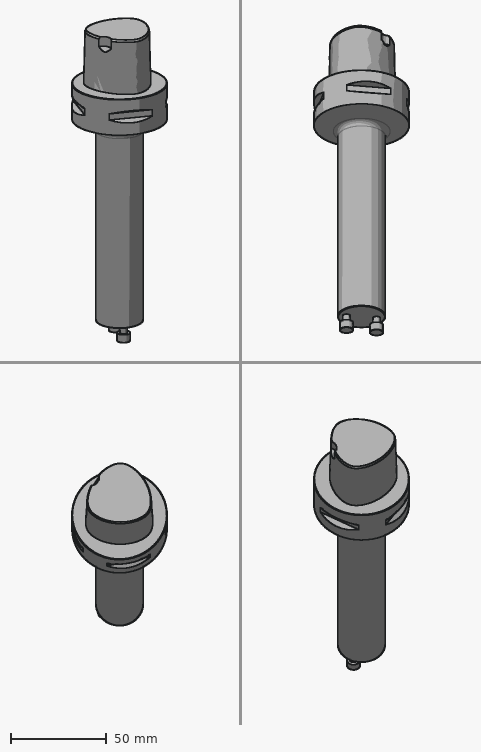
import cadquery as cq
import math


total_height = 171.0
flange_diameter = 50.0
flange_height = 20.0
bar_diameter = 25.0

shank_height = 30.0
shank_mean_radius = 17.6
lobe_eccentricity = 2.4
taper_per_side = 1 / 40
tip_chamfer_height = 1.2
tip_chamfer_width = 0.5
outline_points = 48

notch_radius = 4.5
notch_axis_y = -18.0
notch_depth = 5.3

slot_count = 4
slot_first_angle = 45.0
slot_floor_distance = 22.0
slot_floor_height = 3.5
slot_side_angle = 30.0

neck_cone_drop = 4.0
neck_fillet = 3.5
edge_chamfer = 0.3

screw_diameter = 4.0
screw_head_diameter = 7.0
screw_head_height = 4.5
screw_head_chamfer = 0.2
screw_length = 8.5
screw_offset = 5.6

flange_radius = flange_diameter / 2
bar_radius = bar_diameter / 2
screw_bottom_z = shank_height - total_height
bar_bottom_z = screw_bottom_z + screw_length


def lobed_point(t, mean_radius):
    """Point on the three-lobed curve, with one lobe toward +Y."""
    e = lobe_eccentricity
    x = mean_radius * math.sin(t) + e * math.sin(2 * t) + e / 2 * math.sin(4 * t)
    y = -mean_radius * math.cos(t) + e * math.cos(2 * t) - e / 2 * math.cos(4 * t)
    return x, y


def lobed_wire(mean_radius, z):
    points = []
    for i in range(outline_points):
        x, y = lobed_point(2 * math.pi * i / outline_points, mean_radius)
        points.append(cq.Vector(x, y, z))
    return cq.Wire.assembleEdges([cq.Edge.makeSpline(points, periodic=True)])


def make_shank():
    chamfer_z = shank_height - tip_chamfer_height
    chamfer_radius = shank_mean_radius - taper_per_side * chamfer_z
    tip_radius = chamfer_radius - tip_chamfer_width
    base = lobed_wire(shank_mean_radius, 0)
    shoulder = lobed_wire(chamfer_radius, chamfer_z)
    tip = lobed_wire(tip_radius, shank_height)
    body = cq.Solid.makeLoft([base, shoulder], True)
    chamfer = cq.Solid.makeLoft([shoulder, tip], True)
    return cq.Workplane(body).union(cq.Workplane(chamfer))


def make_notch_cutter():
    floor_z = shank_height - notch_depth
    return (
        cq.Workplane("XZ")
        .moveTo(0, floor_z - notch_radius)
        .lineTo(notch_radius, floor_z)
        .lineTo(notch_radius, shank_height)
        .lineTo(0, shank_height)
        .close()
        .revolve(360, (0, 0), (0, 1))
        .translate((0, notch_axis_y, 0))
    )


def make_flange_and_bar():
    """Flange, conical neck and bar, turned about Z."""
    slope = math.atan2(neck_cone_drop, flange_radius - bar_radius)
    corner_z = -flange_height - neck_cone_drop
    tangent = neck_fillet * math.tan((math.pi / 2 - slope) / 2)
    center_r = bar_radius + neck_fillet
    center_z = corner_z - tangent
    mid_angle = math.pi - (math.pi / 2 - slope) / 2
    fillet_start = (
        bar_radius + tangent * math.cos(slope),
        corner_z + tangent * math.sin(slope),
    )
    fillet_middle = (
        center_r + neck_fillet * math.cos(mid_angle),
        center_z + neck_fillet * math.sin(mid_angle),
    )
    return (
        cq.Workplane("XZ")
        .moveTo(0, 0)
        .lineTo(flange_radius - edge_chamfer, 0)
        .lineTo(flange_radius, -edge_chamfer)
        .lineTo(flange_radius, -flange_height)
        .lineTo(*fillet_start)
        .threePointArc(fillet_middle, (bar_radius, center_z))
        .lineTo(bar_radius, bar_bottom_z + edge_chamfer)
        .lineTo(bar_radius - edge_chamfer, bar_bottom_z)
        .lineTo(0, bar_bottom_z)
        .close()
        .revolve(360, (0, 0), (0, 1))
    )


def make_slot_cutter():
    """Trapezoidal slot running along Y on the +X side of the flange."""
    depth = flange_radius - slot_floor_distance
    half_floor = slot_floor_height / 2
    half_mouth = half_floor + depth * math.tan(math.radians(slot_side_angle))
    middle_z = -flange_height / 2
    return (
        cq.Workplane("XZ")
        .moveTo(slot_floor_distance, middle_z - half_floor)
        .lineTo(flange_radius, middle_z - half_mouth)
        .lineTo(flange_radius, middle_z + half_mouth)
        .lineTo(slot_floor_distance, middle_z + half_floor)
        .close()
        .extrude(flange_radius, both=True)
    )


def make_screw(x, y):
    stem = (
        cq.Workplane("XY")
        .circle(screw_diameter / 2)
        .extrude(screw_length)
    )
    head = (
        cq.Workplane("XY")
        .circle(screw_head_diameter / 2)
        .extrude(screw_head_height)
        .faces("<Z")
        .chamfer(screw_head_chamfer)
    )
    return stem.union(head).translate((x, y, screw_bottom_z))


result = make_flange_and_bar().union(make_shank()).cut(make_notch_cutter())

for i in range(slot_count):
    angle = slot_first_angle + i * 360 / slot_count
    result = result.cut(make_slot_cutter().rotate((0, 0, 0), (0, 0, 1), angle))

for side in (-1, 1):
    result = result.union(make_screw(side * screw_offset, -side * screw_offset))